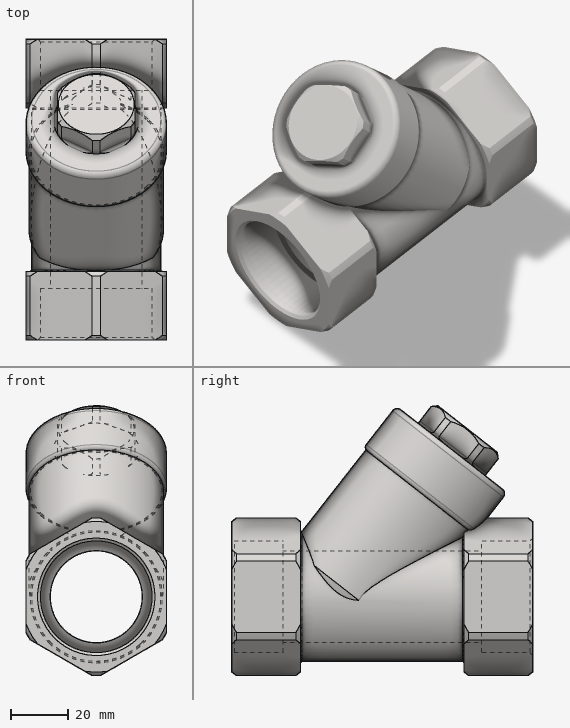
import cadquery as cq
import math

body_length = 105.0
nut_length = 24.0
nut_across_flats = 49.0
nut_corner_diameter = 55.0
nut_face_diameter = 52.5
nut_chamfer_length = 1.7
pipe_diameter = 45.0
pipe_root_fillet = 0.5

bore_diameter = 32.0
socket_diameter = 39.0
socket_depth = 18.0
socket_chamfer = 1.0

branch_angle = 52.0
branch_start_y = -16.0
branch_diameter = 47.0
foot_station = 3.8
foot_taper_length = 5.2
foot_tip_diameter = 42.6

cap_diameter = nut_across_flats
cap_bottom_station = 46.6
cap_top_station = 65.2
cap_bottom_fillet = 1.6
cap_top_fillet = 2.0

head_across_flats = 27.0
head_corner_diameter = 29.7
head_face_diameter = 26.5
head_height = 9.0
head_chamfer_length = 1.6
head_root_fillet = 1.0


def hexagon(across_flats, length):
    """Hexagonal prism standing on the XY plane, with flats facing +X and -X."""
    corner_diameter = across_flats / math.cos(math.radians(30))
    return (
        cq.Workplane("XY")
        .transformed(rotate=(0, 0, 90))
        .polygon(6, corner_diameter)
        .extrude(length)
    )


def cylinder(diameter, bottom, top):
    """Cylinder on the Z axis between two heights."""
    return cq.Workplane("XY").workplane(offset=bottom).circle(diameter / 2).extrude(top - bottom)


def bevelled_cylinder(diameter, face_diameter, chamfer_length, length, faces):
    """Cylinder standing on the XY plane, chamfered down to a face diameter on the given faces."""
    chamfer_depth = (diameter - face_diameter) / 2
    return cylinder(diameter, 0, length).faces(faces).chamfer(chamfer_length, chamfer_depth)


def cone_frustum(bottom_diameter, top_diameter, bottom, top):
    """Frustum on the Z axis between two heights."""
    lower = cq.Workplane("XY").workplane(offset=bottom).circle(bottom_diameter / 2)
    return lower.workplane(offset=top - bottom).circle(top_diameter / 2).loft()


def make_nut():
    """Hexagonal nut whose corners are turned round and chamfered on both faces."""
    blank = bevelled_cylinder(
        nut_corner_diameter, nut_face_diameter, nut_chamfer_length, nut_length, "<Z or >Z"
    )
    return hexagon(nut_across_flats, nut_length).intersect(blank)


def make_half_run():
    """Half of the run: outer end on the XY plane, pipe filleted into the nut above it."""
    middle = body_length / 2
    root_diameter = pipe_diameter + 2 * pipe_root_fillet
    pipe = (
        cq.Workplane("XZ")
        .moveTo(0, nut_length)
        .lineTo(root_diameter / 2, nut_length)
        .radiusArc((pipe_diameter / 2, nut_length + pipe_root_fillet), pipe_root_fillet)
        .lineTo(pipe_diameter / 2, middle)
        .lineTo(0, middle)
        .close()
        .revolve(360, (0, 0), (0, 1))
    )
    return make_nut().union(pipe)


def make_half_passage():
    """Half of the passage: chamfered socket at the XY plane, then the plain bore."""
    bore = cylinder(bore_diameter, 0, body_length / 2)
    socket = cylinder(socket_diameter, 0, socket_depth)
    mouth_diameter = socket_diameter + 2 * socket_chamfer
    mouth = cone_frustum(mouth_diameter, socket_diameter, 0, socket_chamfer)
    return bore.union(socket).union(mouth)


def make_head():
    """Hexagonal head with flats flaring into its base and corners turned round."""
    base_thickness = head_root_fillet
    base = cylinder(cap_diameter, -base_thickness, 0)
    flared = hexagon(head_across_flats, head_height).union(base)
    flared = flared.faces("<Z[1]").edges("not %CIRCLE").fillet(head_root_fillet)
    blank = bevelled_cylinder(
        head_corner_diameter, head_face_diameter, head_chamfer_length, head_height, ">Z"
    )
    return flared.intersect(blank)


def make_branch():
    """Branch with its tapered foot, cap and head, standing along Z."""
    foot = cone_frustum(foot_tip_diameter, branch_diameter, foot_station - foot_taper_length, foot_station)
    tube = cylinder(branch_diameter, foot_station, cap_bottom_station)
    cap = cylinder(cap_diameter, cap_bottom_station, cap_top_station)
    cap = cap.faces("<Z").edges().fillet(cap_bottom_fillet)
    cap = cap.faces(">Z").edges().fillet(cap_top_fillet)
    head = make_head().translate((0, 0, cap_top_station))
    return foot.union(tube).union(cap).union(head)


def both_ends(half):
    """Lay a half along Y with its outer end at -Y, and add its mirror image."""
    laid = half.rotate((0, 0, 0), (1, 0, 0), -90).translate((0, -body_length / 2, 0))
    return laid.union(laid.mirror("XZ"))


tilt = branch_angle - 90
branch = make_branch().rotate((0, 0, 0), (1, 0, 0), tilt).translate((0, branch_start_y, 0))
result = both_ends(make_half_run()).union(branch).cut(both_ends(make_half_passage()))